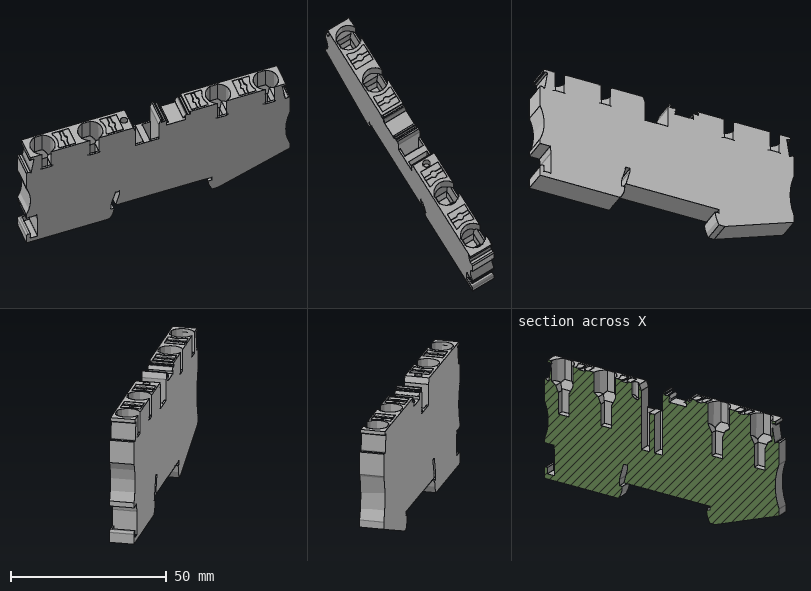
import cadquery as cq

thickness = 8.15
length = 90.5
height = 42.2
half_length = length / 2
half_thickness = thickness / 2

lip_level = 40.9
ledge_level = 35.0
grip_top = 27.3
channel_floor = 33.1
latch_floor = 38.8
latch_hook = 40.0
latch_shelf = 40.9
channel_edge = 40.2
rail_level = 6.0
rail_grip = 4.7
slot_top = 12.5
foot_level = 4.3

top_end = 44.1
channel_start = 0.2
channel_end = -7.8
channel_chamfer = 0.7
foot_notch_y = -41.4

funnel_offsets = (38.3, 21.9)
funnel_x = 0.4
funnel_diameter = 8.1
funnel_radius = funnel_diameter / 2
funnel_flat_x = -3.4
funnel_straight_depth = 7.2
funnel_taper_depth = 2.8
funnel_outer_taper_depth = 1.1
shaft_width = 4.1
shaft_inner = 2.5
shaft_outer_top = 2.4
shaft_outer_bottom = 1.45
shaft_slope_depth = 2.3
shaft_depth = 10.9

marker_x = 0.2
marker_width = 6.5
marker_near = 4.5
marker_far = 10.2
marker_clearance = 5.2
marker_depth = 0.1
marker_groove_offset = 7.5
marker_groove_width = 1.1
marker_groove_radius = 1.1
marker_groove_depth = 0.5

test_hole_y = -10.2
test_hole_radius = 1.2
test_hole_depth = 5.4

socket_width = 6.9
socket_length = 2.9
socket_depth = 13.6

foot_pocket_length = 2.5
foot_pocket_depth = 2.3

side_wall = 0.6
lip_root_front = 1.5
lip_root_back = 10.7
lip_bottom = 41.5


def end_corner(side):
    """Corner recess from the top lip down to the grip; side is +1 or -1 along Y."""
    points = [
        (top_end - 0.2, height),
        (top_end, lip_level),
        (43.7, lip_level),
        (43.4, 41.2),
        (42.6, lip_level),
        (43.5, ledge_level),
        (43.7, 34.7),
        (44.7, 35.2),
        (half_length, 34.9),
        (half_length, grip_top),
    ]
    return [(side * y, z) for y, z in points]


def make_body():
    """Extrude the side outline over the full thickness."""
    latch_and_channel = [
        (channel_end - channel_chamfer, height),
        (channel_end, channel_edge),
        (channel_end, channel_floor),
        (channel_start, channel_floor),
        (channel_start, channel_edge),
        (0.8, height),
        (1.4, height),
        (lip_root_front, 41.6),
        (1.9, 41.55),
        (1.9, lip_bottom),
        (1.2, lip_bottom),
        (1.2, latch_shelf),
        (2.1, latch_shelf),
        (2.5, 41.3),
        (2.8, 41.1),
        (3.5, latch_hook),
        (2.9, latch_hook),
        (2.9, latch_floor),
        (9.4, latch_floor),
        (9.4, latch_hook),
        (8.5, latch_hook),
        (9.5, 41.1),
        (9.8, 41.3),
        (10.2, latch_shelf),
        (11.1, latch_shelf),
        (11.1, lip_bottom),
        (10.3, lip_bottom),
        (lip_root_back, 41.7),
        (lip_root_back, height),
    ]
    outline = (
        cq.Workplane("YZ", origin=(-half_thickness, 0, 0))
        .polyline(latch_and_channel + end_corner(1))
        .threePointArc((43.8, 19.5), (half_length, 11.8))
        .lineTo(half_length, 9.2)
        .lineTo(20.55, 0)
        .lineTo(18.5, 0)
        .threePointArc((17.6, 2.0), (17.1, rail_grip))
        .lineTo(18.5, rail_grip)
        .lineTo(18.5, rail_level)
        .lineTo(-14.7, rail_level)
        .lineTo(-13.2, 11.4)
        .lineTo(-13.2, slot_top)
        .lineTo(-14.7, slot_top)
        .lineTo(-16.2, 6.9)
        .lineTo(-16.2, rail_grip)
        .lineTo(-15.1, rail_grip)
        .threePointArc((-15.6, 2.1), (-16.75, 0))
        .lineTo(-half_length, 0)
        .lineTo(-half_length, 3.4)
        .threePointArc((-45.1, 4.0), (-44.6, foot_level))
        .lineTo(foot_notch_y, foot_level)
        .lineTo(foot_notch_y, 10.0)
        .lineTo(-41.6, slot_top)
        .lineTo(-half_length, slot_top)
        .lineTo(-half_length, 14.2)
        .threePointArc((-43.8, 20.6), (-half_length, grip_top))
    )
    for y, z in reversed(end_corner(-1)[:-1]):
        outline = outline.lineTo(y, z)
    return outline.close().extrude(thickness)


def box_between(x_range, y_range, z_range):
    """Box given by its limits along each axis."""
    size = [high - low for low, high in (x_range, y_range, z_range)]
    return cq.Workplane("XY", origin=(x_range[0], y_range[0], z_range[0])).box(*size, centered=False)


def funnel_cut(y, side):
    """Round entry, tapered transition and rectangular wire shaft; side points to the near end."""
    straight_end = height - funnel_straight_depth
    taper_end = straight_end - funnel_taper_depth
    outer_taper_end = straight_end - funnel_outer_taper_depth
    bottom = straight_end - shaft_depth
    half_shaft = shaft_width / 2

    bore = cq.Workplane("XY", origin=(funnel_x, y, bottom)).circle(funnel_radius).extrude(height - bottom)
    lengthwise_points = [
        (-funnel_radius, height),
        (-funnel_radius, straight_end),
        (-shaft_inner, taper_end),
        (-shaft_inner, bottom),
        (shaft_outer_bottom, bottom),
        (shaft_outer_bottom, outer_taper_end - shaft_slope_depth),
        (shaft_outer_top, outer_taper_end),
        (funnel_radius, straight_end),
        (funnel_radius, height),
    ]
    lengthwise = (
        cq.Workplane("YZ", origin=(-half_thickness, 0, 0))
        .polyline([(y + side * outward, z) for outward, z in lengthwise_points])
        .close()
        .extrude(thickness)
    )
    crosswise = (
        cq.Workplane("XZ", origin=(0, y + funnel_radius, 0))
        .moveTo(funnel_flat_x, height)
        .lineTo(funnel_flat_x, straight_end)
        .lineTo(-half_shaft, taper_end)
        .lineTo(-half_shaft, bottom)
        .lineTo(half_shaft, bottom)
        .lineTo(half_shaft, taper_end)
        .lineTo(-funnel_flat_x, straight_end)
        .lineTo(half_thickness, straight_end)
        .lineTo(half_thickness, height)
        .close()
        .extrude(2 * funnel_radius)
    )
    return bore.intersect(lengthwise).intersect(crosswise)


def marker_cut(y, side):
    """Shallow marker field with a deeper groove that widens to a circle in its middle."""
    field_y = y - side * (marker_near + marker_far) / 2
    groove_y = y - side * marker_groove_offset
    field = (
        cq.Workplane("XY", origin=(marker_x, field_y, height - marker_depth))
        .rect(marker_width, marker_far - marker_near)
        .extrude(marker_depth)
    )
    clearance = (
        cq.Workplane("XY", origin=(marker_x, y, height - marker_depth))
        .circle(marker_clearance)
        .extrude(marker_depth)
    )
    groove_plane = cq.Workplane("XY", origin=(marker_x, groove_y, height - marker_groove_depth))
    groove = groove_plane.rect(marker_width, marker_groove_width).extrude(marker_groove_depth)
    dimple = groove_plane.circle(marker_groove_radius).extrude(marker_groove_depth)
    return field.cut(clearance).union(groove).union(dimple)


def test_hole_cut():
    """Blind round hole whose floor slopes away on its -Y half."""
    floor = height - test_hole_depth
    hole = (
        cq.Workplane("XY", origin=(0, test_hole_y, floor))
        .circle(test_hole_radius)
        .extrude(test_hole_depth)
    )
    ramp = (
        cq.Workplane("YZ", origin=(-test_hole_radius, test_hole_y, floor))
        .polyline([(0, 0), (-test_hole_radius, 0), (-test_hole_radius, test_hole_radius)])
        .close()
        .extrude(2 * test_hole_radius)
    )
    return hole.cut(ramp)


result = make_body()

for side in (1, -1):
    for offset in funnel_offsets:
        result = result.cut(funnel_cut(side * offset, side))
        result = result.cut(marker_cut(side * offset, side))

result = result.cut(test_hole_cut())

for y_low in (channel_start - socket_length, channel_end):
    result = result.cut(
        box_between(
            (-socket_width / 2, socket_width / 2),
            (y_low, y_low + socket_length),
            (channel_floor - socket_depth, channel_floor),
        )
    )

result = result.cut(
    box_between(
        (side_wall - half_thickness, half_thickness),
        (lip_root_front, lip_root_back),
        (lip_bottom, height),
    )
)

result = result.cut(
    box_between(
        (side_wall - half_thickness, half_thickness),
        (foot_notch_y - foot_pocket_length, foot_notch_y),
        (foot_level - foot_pocket_depth, foot_level),
    )
)